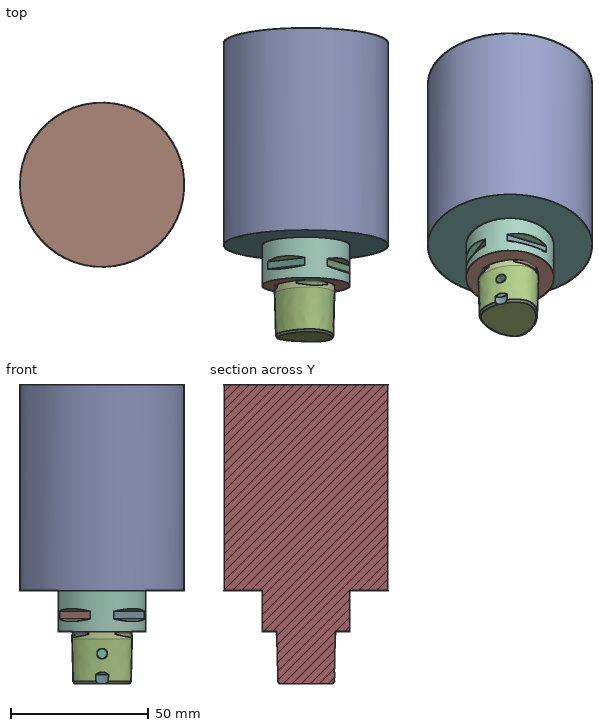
import cadquery as cq
import math

BODY_DIAMETER = 60.0
BODY_LENGTH = 75.0
COLLAR_DIAMETER = 32.0
COLLAR_LENGTH = 15.0

GROOVE_COUNT = 4
GROOVE_FIRST_ANGLE = 45.0
GROOVE_FLOOR_DISTANCE = 13.9
GROOVE_CENTRE_Z = 6.05
GROOVE_FLOOR_WIDTH = 2.7
GROOVE_WALL_ANGLE = 25.0

SHANK_LENGTH = 19.0
SHANK_MEAN_RADIUS = 11.0
LOBE_HEIGHT = 0.7
LOBE_COUNT = 3
SHANK_STRAIGHT_LENGTH = 2.5
TAPER_PER_SIDE = 1 / 40
END_CHAMFER_HEIGHT = 0.9
END_CHAMFER_WIDTH = 0.6

RELIEF_RUNOUT_ANGLE = 45.0
RELIEF_RADIUS = 10.7
RELIEF_DEPTH = 1.0
RELIEF_CORNER_RADIUS = 0.8
RELIEF_COLLAR_FILLET = 0.6

HOLE_DIAMETER = 3.7
HOLE_Z = -8.0
HOLE_DEPTH = 5.0
KEYWAY_RADIUS = 3.9
KEYWAY_AXIS_OFFSET = 2.6
KEYWAY_HEIGHT = 3.3
KEYWAY_TIP_ANGLE = 45.0

CUT_MARGIN = 1.0
FLAT_SIDE_DISTANCE = SHANK_MEAN_RADIUS - LOBE_HEIGHT


def make_body():
    """Revolve the stepped half profile of the body and collar."""
    body_r = BODY_DIAMETER / 2
    collar_r = COLLAR_DIAMETER / 2
    top_z = COLLAR_LENGTH + BODY_LENGTH
    return (
        cq.Workplane("XZ")
        .lineTo(-collar_r, 0)
        .lineTo(-collar_r, COLLAR_LENGTH)
        .lineTo(-body_r, COLLAR_LENGTH)
        .lineTo(-body_r, top_z)
        .lineTo(0, top_z)
        .close()
        .revolve(360, (0, 0, 0), (0, 1, 0))
    )


def make_gripper_groove(angle):
    """V groove with a flat floor, running square to the given radial direction."""
    outer = COLLAR_DIAMETER / 2 + CUT_MARGIN
    floor_half = GROOVE_FLOOR_WIDTH / 2
    mouth_half = floor_half + (outer - GROOVE_FLOOR_DISTANCE) * math.tan(math.radians(GROOVE_WALL_ANGLE))
    return (
        cq.Workplane("XZ")
        .moveTo(GROOVE_FLOOR_DISTANCE, GROOVE_CENTRE_Z - floor_half)
        .lineTo(outer, GROOVE_CENTRE_Z - mouth_half)
        .lineTo(outer, GROOVE_CENTRE_Z + mouth_half)
        .lineTo(GROOVE_FLOOR_DISTANCE, GROOVE_CENTRE_Z + floor_half)
        .close()
        .extrude(COLLAR_DIAMETER / 2, both=True)
        .rotate((0, 0, 0), (0, 0, 1), angle)
    )


def make_lobed_wire(inset, z):
    """Closed curve of constant width with three lobes, moved inward by inset."""

    def curve_point(t):
        phi = math.pi + 2 * math.pi * t
        support = SHANK_MEAN_RADIUS - inset + LOBE_HEIGHT * math.cos(LOBE_COUNT * phi)
        slope = -LOBE_COUNT * LOBE_HEIGHT * math.sin(LOBE_COUNT * phi)
        x = -support * math.sin(phi) - slope * math.cos(phi)
        y = support * math.cos(phi) - slope * math.sin(phi)
        return (x, y)

    return cq.Workplane("XY", origin=(0, 0, z)).parametricCurve(curve_point, N=72).val()


def make_shank():
    """Straight neck, tapered length and chamfered end, all with the lobed outline."""
    chamfer_z = END_CHAMFER_HEIGHT - SHANK_LENGTH
    taper_length = SHANK_LENGTH - SHANK_STRAIGHT_LENGTH - END_CHAMFER_HEIGHT
    taper_inset = taper_length * TAPER_PER_SIDE
    sections = [
        make_lobed_wire(0, 0),
        make_lobed_wire(0, -SHANK_STRAIGHT_LENGTH),
        make_lobed_wire(taper_inset, chamfer_z),
        make_lobed_wire(taper_inset + END_CHAMFER_WIDTH, -SHANK_LENGTH),
    ]
    return cq.Workplane(cq.Solid.makeLoft(sections, True))


def make_relief():
    """Ring removed from the lobes just under the collar."""
    outer = SHANK_MEAN_RADIUS + LOBE_HEIGHT + CUT_MARGIN
    runout_angle = math.radians(RELIEF_RUNOUT_ANGLE)
    runout_z = -RELIEF_DEPTH - (outer - RELIEF_RADIUS) / math.tan(runout_angle)
    tangent = RELIEF_CORNER_RADIUS * math.tan(runout_angle / 2)
    arc_end_x = RELIEF_RADIUS + tangent * math.sin(runout_angle)
    arc_end_z = -RELIEF_DEPTH - tangent * math.cos(runout_angle)
    arc_start_z = tangent - RELIEF_DEPTH
    fillet_start_x = RELIEF_RADIUS + RELIEF_COLLAR_FILLET
    return (
        cq.Workplane("XZ")
        .moveTo(outer, 0)
        .lineTo(fillet_start_x, 0)
        .tangentArcPoint((RELIEF_RADIUS, -RELIEF_COLLAR_FILLET), relative=False)
        .lineTo(RELIEF_RADIUS, arc_start_z)
        .tangentArcPoint((arc_end_x, arc_end_z), relative=False)
        .lineTo(outer, runout_z)
        .close()
        .revolve(360, (0, 0, 0), (0, 1, 0))
    )


def make_radial_hole():
    """Blind hole drilled from the flat -Y side towards the axis."""
    start_y = -FLAT_SIDE_DISTANCE - CUT_MARGIN
    return (
        cq.Workplane("XZ", origin=(0, start_y, HOLE_Z))
        .circle(HOLE_DIAMETER / 2)
        .extrude(-(HOLE_DEPTH + CUT_MARGIN))
    )


def make_keyway():
    """Vertical drilled recess with a conical tip, open to the -Y side and the end face."""
    axis_y = -FLAT_SIDE_DISTANCE - KEYWAY_AXIS_OFFSET
    tip_height = KEYWAY_HEIGHT + KEYWAY_RADIUS * math.tan(math.radians(KEYWAY_TIP_ANGLE))
    return (
        cq.Workplane("XZ", origin=(0, axis_y, -SHANK_LENGTH))
        .moveTo(0, -CUT_MARGIN)
        .lineTo(KEYWAY_RADIUS, -CUT_MARGIN)
        .lineTo(KEYWAY_RADIUS, KEYWAY_HEIGHT)
        .lineTo(0, tip_height)
        .close()
        .revolve(360, (0, 0, 0), (0, 1, 0))
    )


body = make_body()
for index in range(GROOVE_COUNT):
    body = body.cut(make_gripper_groove(GROOVE_FIRST_ANGLE + index * 360 / GROOVE_COUNT))

shank = make_shank().cut(make_relief()).cut(make_radial_hole()).cut(make_keyway())

result = body.union(shank)